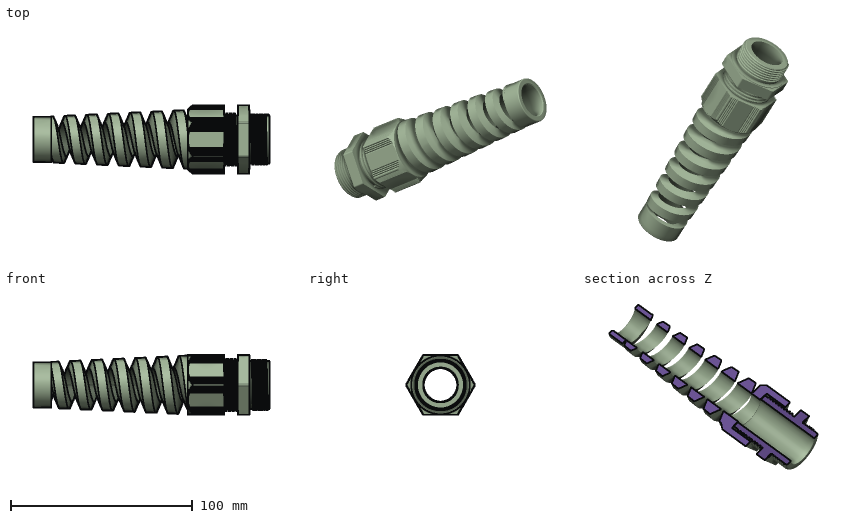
import cadquery as cq
import math

total_length = 130.0
sleeve_length = 10.0
nut_start = 84.9
nut_length = 20.0
nut_end = nut_start + nut_length
flange_start = 112.5
flange_thickness = 6.2
flange_end = flange_start + flange_thickness

bore_diameter = 18.3
sleeve_diameter = 25.1
sleeve_edge_round = 0.5
relief_start_diameter = 25.5
relief_end_diameter = 32.5
spiral_pitch = 12.0
land_width = 5.2
flank_slope = 0.4
groove_phase_station = 11.0
groove_overrun = 1.3

hex_sides = 6
across_flats = 33.0
corner_round = 1.0

nut_face_diameter = 32.8
nut_chamfer_length = 3.0
nut_chamfer_depth = 2.6
flat_width = 9.2
grip_grooves_per_side = 4
grip_groove_width = 1.0
recess_depth = 13.5

shank_diameter = 26.5
gland_bore_diameter = 19.2
nut_recess_diameter = 29.1
cap_thread_diameter = 28.7
cap_thread_length = 18.1
cap_thread_crest = 0.8
cap_thread_root = 1.5
cap_thread_turns = 9
cap_thread_end = 111.9
entry_thread_diameter = 28.0
entry_thread_length = 9.0
entry_thread_crest = 0.4
entry_thread_root = 1.0
entry_thread_turns = 6
entry_thread_end = 129.0
entry_edge_chamfer = 0.4
thread_embed = 0.3

washer_diameter = 32.2
washer_thickness = 0.4

across_corners = across_flats / math.cos(math.pi / hex_sides)


def cylinder(start, length, diameter):
    return cq.Workplane("YZ", origin=(start, 0, 0)).circle(diameter / 2).extrude(length)


def hexagon(start, length):
    """Hexagonal prism along X with its corners toward +Y and -Y."""
    prism = cq.Workplane("YZ", origin=(start, 0, 0)).polygon(hex_sides, across_corners).extrude(length)
    return prism.edges("|X").fillet(corner_round)


def spiral(section, helix, start, turn=0.0):
    """Sweep a (radius, axial) section along a right-handed helix and lay it along X.

    The helix starts at the -Z side, turned about X by `turn` degrees.
    """
    swept = cq.Workplane("XZ").polyline(section).close().sweep(cq.Workplane(helix), isFrenet=True)
    lying = swept.rotate((0, 0, 0), (0, 1, 0), 90)
    return lying.rotate((0, 0, 0), (1, 0, 0), turn).translate((start, 0, 0))



def make_spiral_groove():
    """Tapering gap between the spiral turns, limited to the span between sleeve and nut."""
    taper = (relief_end_diameter - relief_start_diameter) / 2 / (nut_start - sleeve_length)
    start = groove_phase_station - spiral_pitch
    radius = relief_start_diameter / 2 + (start - sleeve_length) * taper
    half_gap = (spiral_pitch - land_width) / 2
    outer_half_gap = half_gap + groove_overrun * flank_slope
    depth = half_gap / flank_slope
    section = [
        (radius + groove_overrun, -outer_half_gap),
        (radius + groove_overrun, outer_half_gap),
        (radius - depth, 0),
    ]
    turns = math.ceil((nut_start - start) / spiral_pitch)
    cone_angle = math.degrees(math.atan(taper))
    helix = cq.Wire.makeHelix(spiral_pitch, turns * spiral_pitch, radius, angle=cone_angle)
    groove = spiral(section, helix, start)
    return groove.intersect(cylinder(sleeve_length, nut_start - sleeve_length, across_corners))


def make_relief():
    sleeve = cylinder(0, sleeve_length, sleeve_diameter)
    sleeve = sleeve.faces("<X").edges().fillet(sleeve_edge_round)
    cone = (
        cq.Workplane("YZ", origin=(sleeve_length, 0, 0)).circle(relief_start_diameter / 2)
        .workplane(offset=nut_start - sleeve_length).circle(relief_end_diameter / 2)
        .loft(ruled=True)
    )
    return sleeve.union(cone.cut(make_spiral_groove()))


def make_grip_grooves():
    """Right-angled V grooves along both sides of the plain middle of each flat."""
    face = across_flats / 2
    outer_edge = flat_width / 2 + grip_grooves_per_side * grip_groove_width
    teeth = [(outer_edge, across_flats), (flat_width / 2, across_flats), (flat_width / 2, face)]
    for index in range(grip_grooves_per_side):
        near_edge = flat_width / 2 + index * grip_groove_width
        teeth.append((near_edge + grip_groove_width / 2, face - grip_groove_width / 2))
        teeth.append((near_edge + grip_groove_width, face))
    comb = cq.Workplane("YZ", origin=(nut_start, 0, 0)).polyline(teeth).close().extrude(nut_length)
    cutters = cq.Workplane("YZ")
    for side in range(hex_sides):
        for half in (comb, comb.mirror("XZ")):
            cutters = cutters.add(half.rotate((0, 0, 0), (1, 0, 0), 360 / hex_sides * side))
    return cutters.combine()


def make_nut_shell():
    envelope_radius = nut_face_diameter / 2 + nut_chamfer_depth
    envelope = (
        cq.Workplane("XY")
        .polyline([
            (nut_start, 0),
            (nut_start, nut_face_diameter / 2),
            (nut_start + nut_chamfer_length, envelope_radius),
            (nut_end, envelope_radius),
            (nut_end, 0),
        ])
        .close()
        .revolve(360, (0, 0, 0), (1, 0, 0))
    )
    return hexagon(nut_start, nut_length).cut(make_grip_grooves()).intersect(envelope)


def make_cap_nut():
    recess = cylinder(nut_end - recess_depth, recess_depth, nut_recess_diameter)
    mouth = (
        cq.Workplane("YZ").circle(bore_diameter / 2 + sleeve_edge_round)
        .workplane(offset=sleeve_edge_round).circle(bore_diameter / 2)
        .loft(ruled=True)
    )
    body = make_relief().union(make_nut_shell())
    return body.cut(cylinder(0, nut_end, bore_diameter)).cut(mouth).cut(recess)



def make_thread(diameter, length, crest, root, turns, end, turn=0.0):
    """Trapezoid ridge around the shank; its last turn is centred on `end`."""
    radius = shank_diameter / 2
    section = [
        (radius - thread_embed, -root / 2),
        (diameter / 2, -crest / 2),
        (diameter / 2, crest / 2),
        (radius - thread_embed, root / 2),
    ]
    helix = cq.Wire.makeHelix(length / turns, length, radius)
    return spiral(section, helix, end - length, turn)


def make_gland():
    start = nut_end - recess_depth
    shank = cylinder(start, total_length - start, shank_diameter)
    shank = shank.faces(">X").edges().chamfer(entry_edge_chamfer)
    cap_thread = make_thread(cap_thread_diameter, cap_thread_length, cap_thread_crest,
                             cap_thread_root, cap_thread_turns, cap_thread_end)
    entry_thread = make_thread(entry_thread_diameter, entry_thread_length, entry_thread_crest,
                               entry_thread_root, entry_thread_turns, entry_thread_end, turn=90)
    body = shank.union(cap_thread).union(entry_thread)
    body = body.union(hexagon(flange_start, flange_thickness))
    return body.cut(cylinder(start, total_length - start, gland_bore_diameter))



def make_washer():
    disc = cylinder(flange_end, washer_thickness, washer_diameter)
    return disc.cut(cylinder(flange_end, washer_thickness, shank_diameter))


cap_nut = make_cap_nut()
gland = make_gland()
washer = make_washer()
result = cq.Compound.makeCompound([cap_nut.val(), gland.val(), washer.val()])